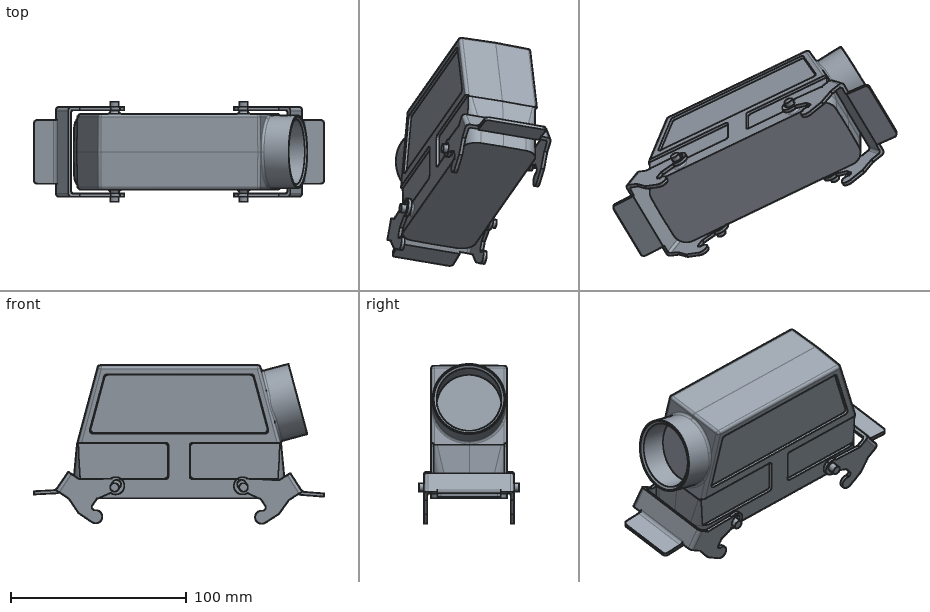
import cadquery as cq
import math

half_width = 21.7
hood_top = 76.0
shoulder_height = 30.7
base_height = 11.1
base_half_length = 60.2
shoulder_half_length = 58.3
end_slope = 15.0
draft = 1.0
base_corner_radius = 8.3
shoulder_corner_radius = 3.5
hood_edge_radius = 1.8

recess_depth = 1.5
recess_draft = 15.0
recess_corner_radius = 2.0
window_bottom = 37.0
window_top = 70.8
window_end_margin = 5.1
panel_bottom = 11.0
panel_top = 31.8
panel_gap = 12.0

entry_x = 67.8
entry_z = 56.7
entry_diameter = 41.6
entry_bore = 37.0
entry_mouth = 40.1
entry_mouth_depth = 1.0
entry_root_radius = 1.3

peg_x = 36.8
peg_z = 6.3
peg_diameter = 5.0
peg_span = 57.2
peg_tip = peg_span / 2
peg_root_radius = 1.5

sheet = 2.0
lever_half_width = 25.7
bend_outer_radius = 2.2
bend_inner_radius = 1.5
slot_travel = 2.2
eye_radius = 5.0
grip_u = -26.8
grip_top = -7.5
grip_bottom = -20.0
hook_radius = 3.8
hook_u = 0.5
hook_v = -19.9
notch_u = -4.6
notch_v = -17.2
notch_radius = 1.5
tab_half_width = 18.2
tab_length = 12.6
tab_angle = 37.1
tab_bend_radius = 2.8
tab_corner_radius = 2.2
left_tilt = 34.2
right_tilt = 32.6

draft_setback = half_width * math.tan(math.radians(draft))
slope = math.radians(end_slope)


def sloped_half_length(z):
    """Half length of the upper hood at height z, on the parting plane."""
    return shoulder_half_length - (z - shoulder_height) * math.tan(slope)


def symmetric_outline(half_length_bottom, bottom, half_length_top, top):
    """Trapezoid in the XZ plane, symmetric about X = 0."""
    return cq.Workplane("XZ").polyline([
        (-half_length_bottom, bottom),
        (half_length_bottom, bottom),
        (half_length_top, top),
        (-half_length_top, top),
    ]).close()


def make_upper_hood():
    """Sloped upper part: two drafted halves, with its outer edges rounded."""
    start = shoulder_height - 2 * draft_setback
    outline = symmetric_outline(sloped_half_length(start), start, sloped_half_length(hood_top), hood_top)
    front = outline.extrude(half_width, taper=draft)
    below = cq.Workplane("XY").box(3 * base_half_length, 3 * half_width, 2 * shoulder_height)
    front = front.cut(below).val()
    rounded = [
        edge for edge in front.Edges()
        if edge.Center().y < -draft_setback and edge.Center().z > shoulder_height + draft_setback
    ]
    front = cq.Workplane(front.fillet(hood_edge_radius, rounded))
    return front.union(front.mirror("XZ"))


def rounded_section(half_length, corner_radius, z):
    """Horizontal section of the lower hood, with a slight peak at Y = 0 on both ends."""
    corner_x = half_length - draft_setback
    outline = cq.Wire.makePolygon([
        cq.Vector(half_length, 0, z),
        cq.Vector(corner_x, half_width, z),
        cq.Vector(-corner_x, half_width, z),
        cq.Vector(-half_length, 0, z),
        cq.Vector(-corner_x, -half_width, z),
        cq.Vector(corner_x, -half_width, z),
    ], close=True)
    corners = [vertex for vertex in outline.Vertices() if abs(vertex.Y) > half_width / 2]
    return outline.fillet2D(corner_radius, corners)


def make_lower_hood():
    """Straight base, then a stretch whose ends and corner radii narrow up to the shoulder."""
    base_section = rounded_section(base_half_length, base_corner_radius, 0)
    base = cq.Solid.extrudeLinear(base_section, [], cq.Vector(0, 0, base_height))
    narrowing = cq.Solid.makeLoft([
        rounded_section(base_half_length, base_corner_radius, base_height),
        rounded_section(shoulder_half_length, shoulder_corner_radius, shoulder_height),
    ], True)
    return cq.Workplane(base).union(cq.Workplane(narrowing))


def on_both_sides(cutter):
    """A cutter made for the +Y side, together with its copy on the -Y side."""
    return cutter.union(cutter.mirror("XZ"))


def make_recesses():
    """One window above and two panels below, on each long side; panels run out at the ends."""
    window = symmetric_outline(
        sloped_half_length(window_bottom) - window_end_margin, window_bottom,
        sloped_half_length(window_top) - window_end_margin, window_top,
    ).extrude(recess_depth, taper=recess_draft)
    cutter = window.edges("not #Y").fillet(recess_corner_radius)
    panel_length = base_half_length
    for side in (-1, 1):
        panel = cq.Workplane("XZ").center(
            side * (panel_gap + panel_length) / 2, (panel_bottom + panel_top) / 2
        ).rect(panel_length, panel_top - panel_bottom).extrude(recess_depth, taper=recess_draft)
        inner_end = "<X" if side > 0 else ">X"
        inner_corners = panel.faces(inner_end).edges("not #Y")
        cutter = cutter.union(inner_corners.fillet(recess_corner_radius))
    return on_both_sides(cutter.translate((0, half_width, 0)))


def make_entry(diameter, depth, taper=0):
    """Round body on the cable entry axis, from its open end inwards."""
    inward = (-math.cos(slope), 0, -math.sin(slope))
    end_plane = cq.Plane(origin=(entry_x, 0, entry_z), xDir=(0, 1, 0), normal=inward)
    return cq.Workplane(end_plane).circle(diameter / 2).extrude(depth, taper=taper)


def is_entry_root(edge):
    """True for the curves where the entry tube runs into the hood."""
    start = edge.startPoint()
    along = (start.x - entry_x) * math.cos(slope) + (start.z - entry_z) * math.sin(slope)
    across = (start.z - entry_z) * math.cos(slope) - (start.x - entry_x) * math.sin(slope)
    on_tube = abs(math.hypot(start.y, across) - entry_diameter / 2) < 0.02
    return on_tube and along < -1.7 and edge.geomType() != "LINE"


def add_cable_entry(hood):
    """Tube on the sloped end, filleted at its root and bored as deep as the sloped face."""
    length = (entry_x - sloped_half_length(entry_z)) * math.cos(slope)
    tube = make_entry(entry_diameter, length + 2 * hood_edge_radius)
    hood = hood.union(tube)
    root = [edge for edge in hood.val().Edges() if is_entry_root(edge)]
    hood = cq.Workplane(hood.val().fillet(entry_root_radius, root))
    mouth_taper = math.degrees(math.atan((entry_mouth - entry_bore) / 2 / entry_mouth_depth))
    bore = make_entry(entry_bore, length)
    mouth = make_entry(entry_mouth, entry_mouth_depth, mouth_taper)
    return hood.cut(bore).cut(mouth)


def make_pegs():
    """Pivot pegs on both long sides, flared where they meet the housing."""
    radius = peg_diameter / 2
    root = half_width + peg_root_radius
    arc_middle = peg_root_radius * (1 - math.sqrt(0.5))
    profile = (
        cq.Workplane("XY")
        .moveTo(0, half_width - recess_depth)
        .lineTo(radius + peg_root_radius, half_width - recess_depth)
        .lineTo(radius + peg_root_radius, half_width)
        .threePointArc((radius + arc_middle, half_width + arc_middle), (radius, root))
        .lineTo(radius, peg_tip)
        .lineTo(0, peg_tip)
        .close()
    )
    peg = profile.revolve(360, (0, 0, 0), (0, 1, 0))
    pair = peg.union(peg.mirror("XZ"))
    return [pair.translate((side * peg_x, 0, peg_z)) for side in (-1, 1)]


def make_housing():
    """Hood with its cable entry, side recesses and pivot pegs."""
    hood = add_cable_entry(make_lower_hood().union(make_upper_hood()))
    hood = hood.cut(make_recesses())
    for pegs in make_pegs():
        hood = hood.union(pegs)
    return hood


arm_outline = [
    (grip_u, grip_top),
    (-19.0, grip_top),
    (-0.3, slot_travel / 2 + eye_radius),
    (0, 0),
    (-0.3, -4.3),
    (notch_u, -11.1),
    (notch_u, notch_v),
    (hook_u, notch_v),
    (hook_u, hook_v - hook_radius),
    (-8.8, hook_v - hook_radius),
    (-17.9, grip_bottom),
    (grip_u, grip_bottom),
]


def make_arms():
    """Solid block with the lever's side outline, as wide as the lever."""
    block = cq.Workplane("XZ").polyline(arm_outline).close().extrude(lever_half_width, both=True)
    block = block.edges(cq.selectors.NearestToPointSelector((notch_u, 0, notch_v))).fillet(notch_radius)
    eye = cq.Workplane("XZ").center(0, slot_travel / 2).circle(eye_radius)
    hook = cq.Workplane("XZ").center(hook_u, hook_v).circle(hook_radius)
    for tip in (eye, hook):
        block = block.union(tip.extrude(lever_half_width, both=True))
    slot = (
        cq.Workplane("XZ").center(0, slot_travel / 2)
        .slot2D(slot_travel + peg_diameter, peg_diameter, 90).extrude(lever_half_width, both=True)
    )
    return block.cut(slot)


def make_bent_strip():
    """U-shaped strip seen along V: the grip plate and both arms with rounded bends."""
    reach = eye_radius - grip_u
    height = 4 * lever_half_width
    outer = (
        cq.Workplane("XY", origin=(grip_u, 0, 0))
        .box(reach, 2 * lever_half_width, height, centered=(False, True, True))
        .edges("|Z and <X").fillet(bend_outer_radius)
    )
    inner = (
        cq.Workplane("XY", origin=(grip_u + sheet, 0, 0))
        .box(reach, 2 * (lever_half_width - sheet), height, centered=(False, True, True))
        .edges("|Z and <X").fillet(bend_inner_radius)
    )
    return outer.cut(inner)


def make_tab():
    """Finger tab, bent outwards from the lower edge of the grip plate."""
    angle = math.radians(tab_angle)
    along = (-math.cos(angle), -math.sin(angle))
    tip = (grip_u + tab_length * along[0], grip_bottom + tab_length * along[1])
    below_tip = (tip[0] - sheet * along[1], tip[1] + sheet * along[0])
    root_v = grip_bottom - sheet * (1 - math.sin(angle)) / math.cos(angle)
    profile = [
        (grip_u, grip_bottom + sheet),
        (grip_u, grip_bottom),
        tip,
        below_tip,
        (grip_u + sheet, root_v),
        (grip_u + sheet, grip_bottom + sheet),
    ]
    tab = cq.Workplane("XZ").polyline(profile).close().extrude(tab_half_width, both=True)
    tab = tab.edges(cq.selectors.NearestToPointSelector((grip_u, 0, grip_bottom))).fillet(tab_bend_radius)
    middle = ((tip[0] + below_tip[0]) / 2, (tip[1] + below_tip[1]) / 2)
    for side in (-1, 1):
        corner = (middle[0], side * tab_half_width, middle[1])
        tab = tab.edges(cq.selectors.NearestToPointSelector(corner)).fillet(tab_corner_radius)
    return tab


def make_lever(tilt):
    """Lever for the -X end, tilted down around its pegs."""
    lever = make_arms().intersect(make_bent_strip()).union(make_tab())
    return lever.rotate((0, 0, 0), (0, 1, 0), tilt).translate((-peg_x, 0, peg_z))


housing = make_housing()
left_lever = make_lever(left_tilt)
right_lever = make_lever(right_tilt).mirror("YZ")

result = cq.Compound.makeCompound([housing.val(), left_lever.val(), right_lever.val()])